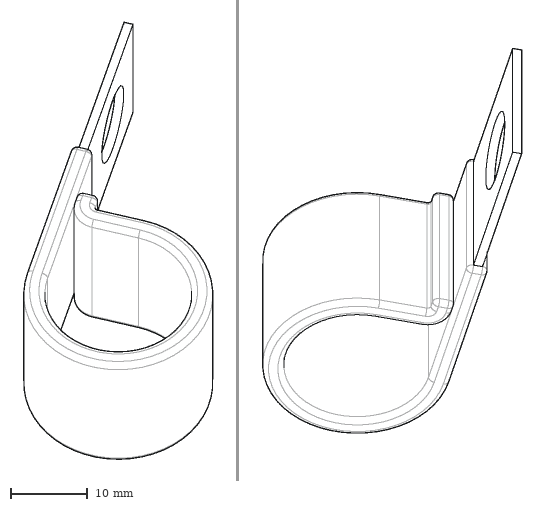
import cadquery as cq
import math


loop_bore_diameter = 19.1
metal_thickness = 1.2192
metal_width = 19.05
cushion_thickness = 0.762

strap_end_y = 42.847
cushion_straight_length = 20.67
hole_diameter = 10.31
hole_edge_distance = 9.525

free_run_length = 6.3
hook_straight_length = 0.89
metal_bend_radius = metal_thickness

band_thickness = metal_thickness + 2 * cushion_thickness
band_width = metal_width + 2 * cushion_thickness
inner_radius = loop_bore_diameter / 2
outer_radius = inner_radius + band_thickness
cushion_end_y = cushion_straight_length + cushion_thickness
bend_inner_radius = metal_bend_radius - cushion_thickness
bend_outer_radius = bend_inner_radius + band_thickness
bend_center_x = -free_run_length
bend_center_y = outer_radius + bend_inner_radius
hook_end_y = bend_center_y + hook_straight_length + cushion_thickness


def polar_point(center_x, center_y, radius, angle_degrees):
    """Point at the given radius and angle around a center."""
    angle = math.radians(angle_degrees)
    return (center_x + radius * math.cos(angle), center_y + radius * math.sin(angle))


def make_cushioned_band():
    """Strap side, loop and hook as one band of constant thickness with rounded outer edges."""
    loop_middle = -45
    bend_middle = 225
    outline = (
        cq.Workplane("XY", origin=(0, 0, -band_width / 2))
        .moveTo(-outer_radius, cushion_end_y)
        .lineTo(-outer_radius, 0)
        .threePointArc(polar_point(0, 0, outer_radius, loop_middle), (0, outer_radius))
        .lineTo(bend_center_x, outer_radius)
        .threePointArc(
            polar_point(bend_center_x, bend_center_y, bend_inner_radius, bend_middle),
            (bend_center_x - bend_inner_radius, bend_center_y),
        )
        .lineTo(bend_center_x - bend_inner_radius, hook_end_y)
        .lineTo(bend_center_x - bend_outer_radius, hook_end_y)
        .lineTo(bend_center_x - bend_outer_radius, bend_center_y)
        .threePointArc(
            polar_point(bend_center_x, bend_center_y, bend_outer_radius, bend_middle),
            (bend_center_x, inner_radius),
        )
        .lineTo(0, inner_radius)
        .threePointArc(polar_point(0, 0, inner_radius, loop_middle), (-inner_radius, 0))
        .lineTo(-inner_radius, cushion_end_y)
        .close()
    )
    band = outline.extrude(band_width)
    end_faces = band.faces("+Y")
    rounded_edges = band.faces("<Z or >Z").edges().add(end_faces.edges("|Z"))
    return rounded_edges.fillet(cushion_thickness)


def make_metal_tab():
    """Bare end of the metal strap with its mounting hole, starting inside the cushion."""
    tab = cq.Workplane("XY").box(
        metal_thickness, strap_end_y, metal_width, centered=(False, False, True)
    )
    tab = tab.translate((-outer_radius + cushion_thickness, 0, 0))
    hole = (
        cq.Workplane("YZ")
        .center(strap_end_y - hole_edge_distance, 0)
        .circle(hole_diameter / 2)
        .extrude(-outer_radius)
    )
    return tab.cut(hole)


result = make_cushioned_band().union(make_metal_tab())